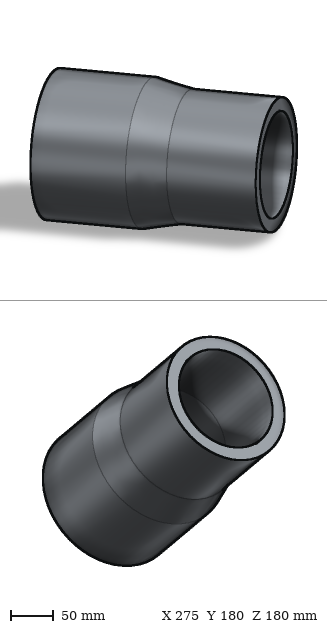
import cadquery as cq

total_length = 275.0
wide_length = 117.5
narrow_length = 110.0
wide_outer_diameter = 180.0
wide_inner_diameter = 147.2
narrow_outer_diameter = 160.0
narrow_inner_diameter = 127.2

taper_end = total_length - narrow_length


def stepped_body(wide_diameter, narrow_diameter):
    """Solid of revolution about X with a straight cone between two cylinders."""
    wide_radius = wide_diameter / 2
    narrow_radius = narrow_diameter / 2
    return (
        cq.Workplane("XY")
        .moveTo(0, 0)
        .lineTo(0, wide_radius)
        .lineTo(wide_length, wide_radius)
        .lineTo(taper_end, narrow_radius)
        .lineTo(total_length, narrow_radius)
        .lineTo(total_length, 0)
        .close()
        .revolve(360, (0, 0, 0), (1, 0, 0))
    )


outer_body = stepped_body(wide_outer_diameter, narrow_outer_diameter)
bore = stepped_body(wide_inner_diameter, narrow_inner_diameter)

result = outer_body.cut(bore)